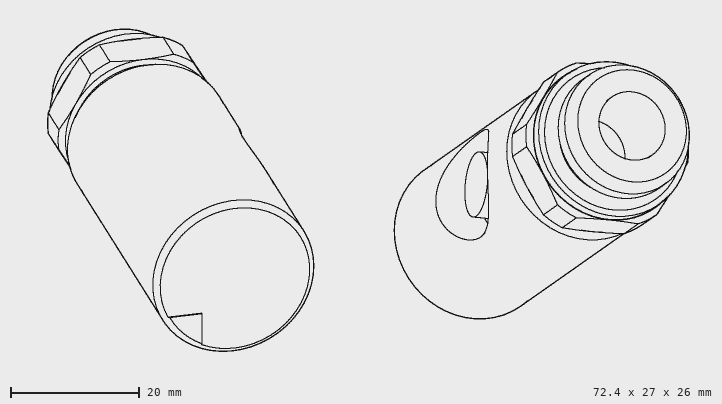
import cadquery as cq
import math

thread_end_x = 2.25
thread_back_x = 5.15
undercut_x = 6.45
seal_x = 7.45
flange_x = 8.3
hex_front_x = 10.5
hex_back_x = 17.95
body_x = 21.0
rear_chamfer_x = 71.25
end_face_x = 72.2
total_length = 72.4

bore_diameter = 11.0
face_diameter = 18.0
thread_diameter = 20.7
undercut_diameter = 18.0
seal_diameter = 22.9
flange_diameter = 24.8
neck_diameter = 23.0
body_diameter = 26.0
hex_corner_diameter = 27.0

hex_across_flats = 25.0
hex_chamfer_angle = 30

bore_depth = hex_back_x
end_chamfer = total_length - rear_chamfer_x
button_x = 41.1
button_y = 10.6
button_diameter = 10.2
recess_floor_diameter = 12.1
recess_apex_y = 1.45
pad_edge = 5.35

body_radius = body_diameter / 2
recess_floor_y = recess_apex_y + recess_floor_diameter / 2


def turned_body():
    """Stem, seal ring, flange and sleeve revolved about the X axis."""
    seal_middle_radius = (undercut_diameter + seal_diameter) / 4
    profile = (
        cq.Workplane("XY")
        .moveTo(0, 0)
        .lineTo(0, face_diameter / 2)
        .lineTo(thread_end_x, thread_diameter / 2)
        .lineTo(thread_back_x, thread_diameter / 2)
        .lineTo(undercut_x, undercut_diameter / 2)
        .lineTo(flange_x, undercut_diameter / 2)
        .threePointArc((seal_x, seal_middle_radius), (flange_x, seal_diameter / 2))
        .lineTo(flange_x, flange_diameter / 2)
        .lineTo(hex_front_x, flange_diameter / 2)
        .lineTo(hex_front_x, neck_diameter / 2)
        .lineTo(hex_back_x, neck_diameter / 2)
        .lineTo(body_x, body_radius)
        .lineTo(rear_chamfer_x, body_radius)
        .lineTo(total_length, body_radius - end_chamfer)
        .lineTo(total_length, 0)
        .close()
    )
    return profile.revolve(360, (0, 0, 0), (1, 0, 0))


def hexagon():
    """Wrench hexagon with corners on +Y and -Y, turned and chamfered at both ends."""
    width = hex_back_x - hex_front_x
    corner_radius = hex_corner_diameter / 2
    chamfer_radius = hex_across_flats / 2
    chamfer_length = (corner_radius - chamfer_radius) * math.tan(math.radians(hex_chamfer_angle))
    prism = (
        cq.Workplane("YZ", origin=(hex_front_x, 0, 0))
        .polygon(6, hex_across_flats / math.cos(math.pi / 6))
        .extrude(width)
    )
    envelope = (
        cq.Workplane("XY")
        .moveTo(hex_front_x, 0)
        .lineTo(hex_front_x, chamfer_radius)
        .lineTo(hex_front_x + chamfer_length, corner_radius)
        .lineTo(hex_back_x - chamfer_length, corner_radius)
        .lineTo(hex_back_x, chamfer_radius)
        .lineTo(hex_back_x, 0)
        .close()
        .revolve(360, (0, 0, 0), (1, 0, 0))
    )
    return prism.intersect(envelope)


def rear_end_trim():
    """Slab that lowers the rear face everywhere except the raised pad in the -Y, -Z corner."""
    thickness = total_length - end_face_x
    face = cq.Workplane("YZ", origin=(end_face_x, 0, 0))
    slab = face.rect(body_diameter, body_diameter).extrude(thickness)
    pad = (
        face.center(-pad_edge, -pad_edge)
        .rect(-body_radius, -body_radius, centered=False)
        .extrude(thickness)
    )
    return slab.cut(pad)


def button_recess():
    """Conical 45-degree finger recess on the +Y side, narrowing to a flat floor."""
    top_y = body_diameter
    return (
        cq.Workplane("XY")
        .moveTo(0, recess_floor_y)
        .lineTo(recess_floor_diameter / 2, recess_floor_y)
        .lineTo(top_y - recess_apex_y, top_y)
        .lineTo(0, top_y)
        .close()
        .revolve(360, (0, 0, 0), (0, 1, 0))
        .translate((button_x, 0, 0))
    )


def push_button():
    """Round button standing on the recess floor."""
    height = button_y - recess_floor_y
    return (
        cq.Workplane("XZ", origin=(button_x, button_y, 0))
        .circle(button_diameter / 2)
        .extrude(height)
    )


bore = cq.Workplane("YZ").circle(bore_diameter / 2).extrude(bore_depth)

result = turned_body().union(hexagon())
result = result.cut(button_recess()).union(push_button())
result = result.cut(bore).cut(rear_end_trim())